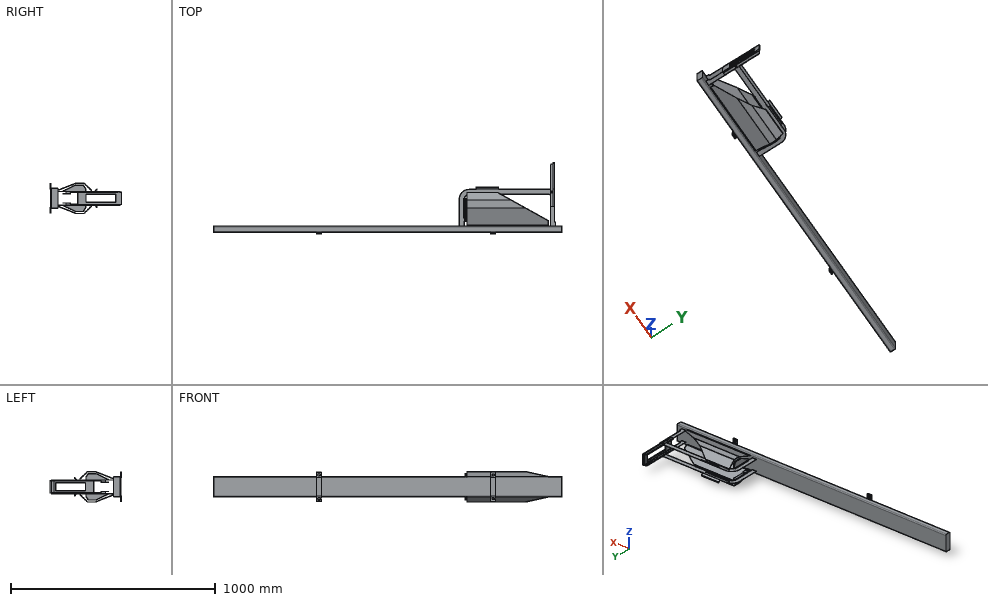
import cadquery as cq


BEAM_LENGTH = 1700.0
BEAM_FRONT = 8.0
BEAM_BACK = 40.0
BEAM_HEIGHT = 99.0
BEAM_EDGE_RADIUS = 5.0

STRAP_LEFT_EDGES = (502.0, 1352.0)
STRAP_WIDTH = 25.0
STRAP_FRONT = 3.0
STRAP_HEIGHT = 99.0
FOOT_THICKNESS = 5.0
FOOT_INNER_Z = 46.0
FOOT_OUTER_Z = 71.0
FOOT_CORNER_RADIUS = 3.0
FOOT_HOLE_DIAMETER = 10.0
FOOT_HOLE_Z = 58.0
FOOT_NOTCH_DEPTH = 5.0
FOOT_NOTCH_HEIGHT = 7.0

FRAME_LEFT = 1198.0
FRAME_RIGHT = 1665.0
FRAME_BACK = 220.0
FRAME_LEFT_WIDTH = 25.0
FRAME_BACK_WIDTH = 25.0
FRAME_RIGHT_WIDTH = 20.0
FRAME_OUTER_RADIUS = 50.0
FRAME_INNER_LEFT_RADIUS = FRAME_OUTER_RADIUS - FRAME_LEFT_WIDTH
FRAME_INNER_RIGHT_RADIUS = 7.0
FRAME_BOTTOM_Z = 32.0
FRAME_TOP_Z = 34.0
HEEL_WIDTH = 5.0
HEEL_DEPTH = 19.0
FRAME_HOLE_DIAMETER = 7.0
FRAME_HOLE_INSET = 14.0

LIP_LEFT = 1282.0
LIP_LENGTH = 109.0
LIP_REACH = 10.0
LIP_RISE = 12.0
LIP_EDGE_HEIGHT = 5.0

BRACKET_FRONT = 136.0
BRACKET_BACK = 350.0
BRACKET_THICKNESS = 7.0
BRACKET_HEIGHT = 61.0
BRACKET_LEFT = FRAME_RIGHT - BRACKET_THICKNESS
FLANGE_BACK = 343.0
FLANGE_BOTTOM_Z = 27.0
FLANGE_CORNER = 5.0
WINDOW_FRONT = 177.0
WINDOW_BACK = 321.0
WINDOW_HEIGHT = 37.0
RIB_FRONT = 330.0
RIB_HEIGHT = 5.0

HOOD_LEFT = 1236.0
HOOD_RIGHT = 1634.0
HOOD_BACK = 204.0
HOOD_BACK_Z = 39.0
HOOD_TOP_BACK = 167.0
HOOD_TOP_FRONT = 128.0
HOOD_TOP_Z = 75.0
HOOD_RIM_FRONT = 46.0
HOOD_FRONT_Z = 42.0
HOOD_THICKNESS = 2.0
HOOD_CUT_LEFT = 1385.0
HOOD_CUT_FRONT = 66.0

END_PLATE_LEFT = 1227.0
END_PLATE_RIGHT = 1235.0
END_PLATE_BACK = 175.0
END_PLATE_FRONT = 61.0
END_PLATE_SHOULDER_Z = 46.0
END_PLATE_TOP_BACK = 163.0
END_PLATE_TOP_FRONT = 124.0
END_PLATE_TOP_Z = 65.0

BASE_LEFT = 1220.0
BASE_FRONT = 78.0
BASE_BOTTOM_Z = 27.0
HOOK_BACK = 100.0
HOOK_BOTTOM_Z = 22.0
TOE_FRONT = 63.0
TOE_THICKNESS = 2.0


def box(x0, x1, y0, y1, z0, z1):
    """Block between the given coordinates."""
    return cq.Workplane("XY").box(x1 - x0, y1 - y0, z1 - z0, centered=False).translate((x0, y0, z0))


def side_profile(points, x0, length):
    """Closed (Y, Z) outline extruded along +X from x0."""
    return cq.Workplane("YZ", origin=(x0, 0, 0)).polyline(points).close().extrude(length)


def make_beam():
    half = BEAM_HEIGHT / 2
    beam = box(0, BEAM_LENGTH, BEAM_FRONT, BEAM_BACK, -half, half)
    return beam.edges("|X").fillet(BEAM_EDGE_RADIUS)


def make_foot(left):
    """Foot at the upper end of a strap, with a hole and a notch in its right edge."""
    right = left + STRAP_WIDTH
    foot = box(left, right, 0, FOOT_THICKNESS, FOOT_INNER_Z, FOOT_OUTER_Z)
    foot = foot.edges("|Y and >Z").fillet(FOOT_CORNER_RADIUS)
    hole = (
        cq.Workplane("XZ", origin=(left + STRAP_WIDTH / 2, 0, FOOT_HOLE_Z))
        .circle(FOOT_HOLE_DIAMETER / 2)
        .extrude(-FOOT_THICKNESS)
    )
    half_notch = FOOT_NOTCH_HEIGHT / 2
    notch = box(
        right - FOOT_NOTCH_DEPTH, right, 0, FOOT_THICKNESS,
        FOOT_HOLE_Z - half_notch, FOOT_HOLE_Z + half_notch,
    )
    return foot.cut(hole).cut(notch)


def make_strap(left):
    half = STRAP_HEIGHT / 2
    strap = box(left, left + STRAP_WIDTH, STRAP_FRONT, BEAM_FRONT, -half, half)
    foot = make_foot(left)
    return strap.union(foot).union(foot.mirror("XY"))


def make_frame():
    outer = box(FRAME_LEFT, FRAME_RIGHT, BEAM_BACK, FRAME_BACK, FRAME_BOTTOM_Z, FRAME_TOP_Z)
    outer = outer.edges("|Z and <X and >Y").fillet(FRAME_OUTER_RADIUS)
    opening = box(
        FRAME_LEFT + FRAME_LEFT_WIDTH, FRAME_RIGHT - FRAME_RIGHT_WIDTH,
        BEAM_BACK, FRAME_BACK - FRAME_BACK_WIDTH, FRAME_BOTTOM_Z, FRAME_TOP_Z,
    )
    opening = opening.edges("|Z and <X and >Y").fillet(FRAME_INNER_LEFT_RADIUS)
    opening = opening.edges("|Z and >X and >Y").fillet(FRAME_INNER_RIGHT_RADIUS)
    heel = box(
        FRAME_RIGHT, FRAME_RIGHT + HEEL_WIDTH,
        BEAM_BACK, BEAM_BACK + HEEL_DEPTH, FRAME_BOTTOM_Z, FRAME_TOP_Z,
    )
    return outer.cut(opening).union(heel)


def make_frame_hole():
    return (
        cq.Workplane("XY", origin=(FRAME_RIGHT - FRAME_HOLE_INSET, FRAME_BACK - FRAME_HOLE_INSET, 0))
        .circle(FRAME_HOLE_DIAMETER / 2)
        .extrude(FRAME_TOP_Z)
    )


def make_lip():
    lip_back = FRAME_BACK + LIP_REACH
    points = [
        (FRAME_BACK, FRAME_TOP_Z),
        (FRAME_BACK, FRAME_BOTTOM_Z),
        (lip_back, FRAME_TOP_Z + LIP_RISE - LIP_EDGE_HEIGHT),
        (lip_back, FRAME_TOP_Z + LIP_RISE),
    ]
    return side_profile(points, LIP_LEFT, LIP_LENGTH)


def make_flange():
    left = FRAME_RIGHT - FRAME_RIGHT_WIDTH
    flange = box(left, BRACKET_LEFT, BRACKET_FRONT, FLANGE_BACK, FLANGE_BOTTOM_Z, FRAME_TOP_Z)
    return flange.edges("|Z and <X and >Y").chamfer(FLANGE_CORNER)


def make_bracket():
    half = BRACKET_HEIGHT / 2
    half_window = WINDOW_HEIGHT / 2
    plate = box(BRACKET_LEFT, FRAME_RIGHT, BRACKET_FRONT, BRACKET_BACK, -half, half)
    window = box(BRACKET_LEFT, FRAME_RIGHT, WINDOW_FRONT, WINDOW_BACK, -half_window, half_window)
    rib = box(BRACKET_LEFT - RIB_HEIGHT, BRACKET_LEFT, RIB_FRONT, FLANGE_BACK, -half, half)
    return plate.cut(window).union(rib)


def make_hood():
    outside = [
        (HOOD_BACK, HOOD_BACK_Z),
        (HOOD_TOP_BACK, HOOD_TOP_Z),
        (HOOD_TOP_FRONT, HOOD_TOP_Z),
        (HOOD_RIM_FRONT, HOOD_FRONT_Z),
        (BEAM_BACK, HOOD_FRONT_Z),
    ]
    inside = [(y, z - HOOD_THICKNESS) for y, z in outside]
    inside[0] = (HOOD_BACK - HOOD_THICKNESS, HOOD_BACK_Z - HOOD_THICKNESS)
    outside.insert(0, (HOOD_BACK, FRAME_BOTTOM_Z))
    inside.insert(0, (HOOD_BACK - HOOD_THICKNESS, FRAME_BOTTOM_Z))
    sheet = side_profile(outside + inside[::-1], HOOD_LEFT, HOOD_RIGHT - HOOD_LEFT)
    cut = (
        cq.Workplane("XY", origin=(0, 0, FRAME_TOP_Z))
        .polyline([(HOOD_CUT_LEFT, HOOD_BACK), (HOOD_RIGHT, HOOD_CUT_FRONT), (HOOD_RIGHT, HOOD_BACK)])
        .close()
        .extrude(HOOD_TOP_Z - FRAME_TOP_Z)
    )
    return sheet.cut(cut)


def make_end_plate():
    outline = [
        (END_PLATE_BACK, FRAME_BOTTOM_Z),
        (END_PLATE_BACK, END_PLATE_SHOULDER_Z),
        (END_PLATE_TOP_BACK, END_PLATE_TOP_Z),
        (END_PLATE_TOP_FRONT, END_PLATE_TOP_Z),
        (END_PLATE_FRONT, FRAME_TOP_Z),
        (END_PLATE_FRONT, FRAME_BOTTOM_Z),
    ]
    return side_profile(outline, END_PLATE_LEFT, END_PLATE_RIGHT - END_PLATE_LEFT)


def make_end_plate_base():
    """Strip under the frame that carries the end plate, with a hook below it."""
    outline = [
        (END_PLATE_BACK, FRAME_BOTTOM_Z),
        (BASE_FRONT, FRAME_BOTTOM_Z),
        (BASE_FRONT, HOOK_BOTTOM_Z + TOE_THICKNESS),
        (TOE_FRONT, HOOK_BOTTOM_Z + TOE_THICKNESS),
        (TOE_FRONT, HOOK_BOTTOM_Z),
        (HOOK_BACK, HOOK_BOTTOM_Z),
        (HOOK_BACK, BASE_BOTTOM_Z),
        (END_PLATE_BACK, BASE_BOTTOM_Z),
    ]
    return side_profile(outline, BASE_LEFT, END_PLATE_RIGHT - BASE_LEFT)


upper_half = make_frame()
for piece in (make_lip(), make_flange(), make_hood(), make_end_plate(), make_end_plate_base()):
    upper_half = upper_half.union(piece)
upper_half = upper_half.cut(make_frame_hole())

result = make_beam().union(make_bracket())
for left_edge in STRAP_LEFT_EDGES:
    result = result.union(make_strap(left_edge))
result = result.union(upper_half).union(upper_half.mirror("XY"))